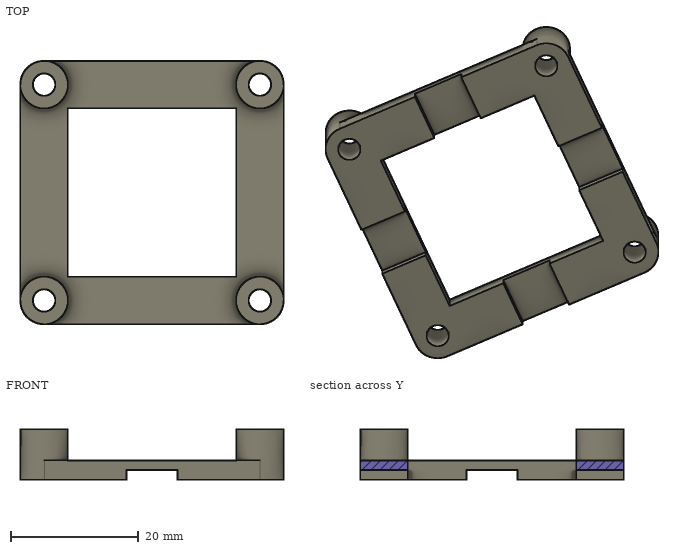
import cadquery as cq

outer_side = 41.5
total_height = 8.0
frame_height = 3.07
post_diameter = 7.5
hole_diameter = 3.5
notch_width = 8.0
notch_height = 1.55

post_spacing = outer_side - post_diameter
bar_width = post_diameter
window_side = outer_side - 2 * bar_width


def at_corners():
    """Workplane on the underside with a point at each corner post."""
    return cq.Workplane("XY").rect(post_spacing, post_spacing, forConstruction=True).vertices()


def make_frame():
    """Square frame with a square window; its outer corners are left open for the posts."""
    wide = cq.Workplane("XY").rect(outer_side, post_spacing).extrude(frame_height)
    deep = cq.Workplane("XY").rect(post_spacing, outer_side).extrude(frame_height)
    plate = wide.union(deep)
    window = cq.Workplane("XY").rect(window_side, window_side).extrude(frame_height)
    return plate.cut(window)


def make_notches():
    """Two crossing bars that notch the underside at the middle of each side."""
    along_x = cq.Workplane("XY").rect(outer_side, notch_width).extrude(notch_height)
    along_y = cq.Workplane("XY").rect(notch_width, outer_side).extrude(notch_height)
    return along_x.union(along_y)


posts = at_corners().circle(post_diameter / 2).extrude(total_height)
holes = at_corners().circle(hole_diameter / 2).extrude(total_height)

result = make_frame().union(posts).cut(make_notches()).cut(holes)